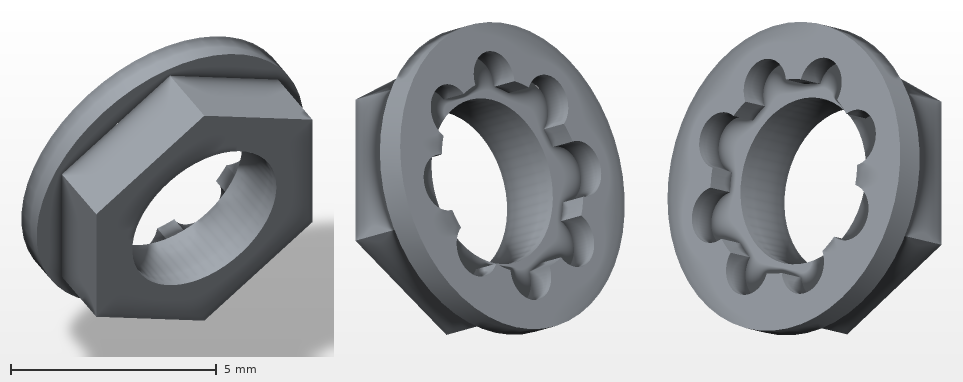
import cadquery as cq
import math

flange_diameter = 7.6
flange_thickness = 0.71
opening_radius = 2.395
scallop_radius = 0.69
scallop_count = 8
first_scallop_angle = 30.0

overall_length = 2.3
nut_across_flats = 6.155
bore_diameter = 4.105
nut_length = overall_length - flange_thickness
nut_across_corners = nut_across_flats / math.cos(math.radians(30))


def make_scalloped_opening():
    """Cutter for the opening: a central disc ringed by round scallops."""
    cutter = cq.Workplane("YZ").circle(opening_radius).extrude(flange_thickness)
    scallops = (
        cq.Workplane("YZ")
        .polarArray(opening_radius, first_scallop_angle, 360, scallop_count)
        .circle(scallop_radius)
        .extrude(flange_thickness)
    )
    return cutter.union(scallops)


def make_flange():
    """Round flange, its outer face on X = 0."""
    disc = cq.Workplane("YZ").circle(flange_diameter / 2).extrude(flange_thickness)
    return disc.cut(make_scalloped_opening())


def make_nut():
    """Hexagonal nut with a round through bore, seated on the flange."""
    return (
        cq.Workplane("YZ", origin=(flange_thickness, 0, 0))
        .transformed(rotate=(0, 0, 90))
        .polygon(6, nut_across_corners)
        .circle(bore_diameter / 2)
        .extrude(nut_length)
    )


flange = make_flange()
nut = make_nut()

result = cq.Compound.makeCompound([flange.val(), nut.val()])